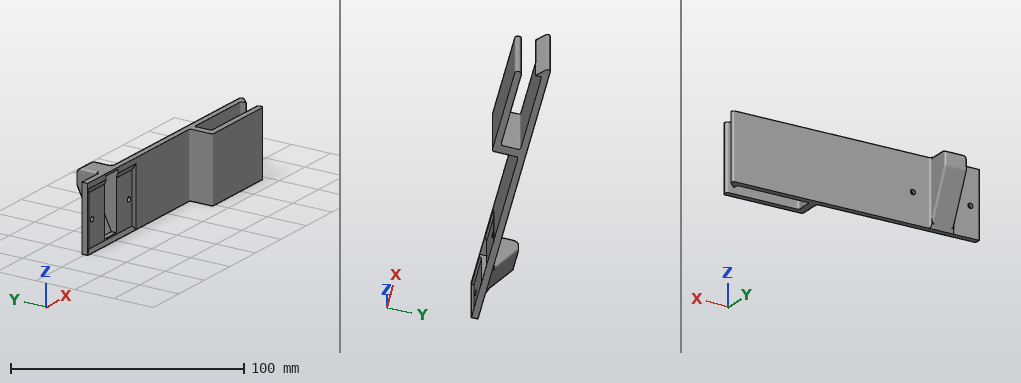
import cadquery as cq
import math

length = 124.1
height = 33.0
wall = 3.0
edge_radius = 1.0

clip_depth = 14.6
leg_left = 80.0
leg_right = 83.8
arm_end = 120.1
arm_tip_radius = 1.2
hook_depth = 5.7

recess_length = 38.0
recess_height = 30.3
recess_side_run = 2.0
recess_end_run = 2.2
recess_depth = 0.7
recess_center_x = recess_length / 2
recess_center_z = recess_height / 2

hole_diameter = 2.4
hole_spacing = 28.9

block_width = 11.0
block_depth = 11.9
block_knee_z = 25.3
block_back_radius = 3.0
shell = 1.0
cavity_bottom_z = 3.0


def round_upright_edge(solid, x, y, radius):
    edge = cq.selectors.NearestToPointSelector((x, y, height / 2))
    return solid.edges(edge).fillet(radius)


def plate_and_clip():
    """Constant section of plate, hook, leg and arm, extruded upwards."""
    arm_inner_y = wall - clip_depth
    hook_end_y = (length - arm_end) - hook_depth
    section = (
        cq.Workplane("XY")
        .moveTo(0, 0)
        .lineTo(length, 0)
        .lineTo(length, hook_end_y)
        .lineTo(arm_end, -hook_depth)
        .lineTo(arm_end, -wall)
        .lineTo(leg_right, -wall)
        .lineTo(leg_right, arm_inner_y)
        .lineTo(arm_end, arm_inner_y)
        .lineTo(arm_end, -clip_depth)
        .lineTo(leg_left, -clip_depth)
        .lineTo(leg_left, -wall)
        .lineTo(0, -wall)
        .close()
        .extrude(height)
    )
    rounded_corners = [
        (length, 0),
        (length, hook_end_y),
        (arm_end, -wall),
        (leg_right, -wall),
        (leg_right, arm_inner_y),
        (leg_left, -clip_depth),
        (leg_left, -wall),
    ]
    for x, y in rounded_corners:
        section = round_upright_edge(section, x, y, edge_radius)
    for y in (arm_inner_y, -clip_depth):
        section = round_upright_edge(section, arm_end, y, arm_tip_radius)
    return section


def centred_on_block(profile, width):
    """Extrude a YZ profile symmetrically about the middle of the block."""
    return profile.extrude(width / 2, both=True).translate((recess_center_x, 0, 0))


def block_body(width):
    """Sharp-sided block: flat top, rounded back and an underside sloping to the plate."""
    profile = (
        cq.Workplane("YZ")
        .moveTo(0, 0)
        .lineTo(block_depth, block_knee_z)
        .lineTo(block_depth, height)
        .lineTo(0, height)
        .close()
    )
    return centred_on_block(profile, width).edges("|X and (not <Y)").fillet(block_back_radius)


def block():
    solid = block_body(block_width)
    return solid.faces("<X or >X").edges("not <Y").fillet(edge_radius)


def block_roots():
    """Concave fillets where the sides of the block meet the plate."""
    half_width = block_width / 2
    foot = half_width + edge_radius
    section = (
        cq.Workplane("XY", origin=(recess_center_x, 0, 0))
        .moveTo(-foot, 0)
        .radiusArc((-half_width, edge_radius), -edge_radius)
        .lineTo(half_width, edge_radius)
        .radiusArc((foot, 0), -edge_radius)
        .close()
        .extrude(height)
    )
    return section.intersect(block_body(2 * foot))


def cavity():
    """Room inside the block, one shell thickness from its outside, open through the plate."""
    slope = block_knee_z / block_depth
    slope_lift = shell * math.hypot(1, slope)
    floor_end_y = (cavity_bottom_z - slope_lift) / slope
    back_y = block_depth - shell
    knee_z = slope * back_y + slope_lift
    top_z = height - shell
    back_radius = block_back_radius - shell
    profile = (
        cq.Workplane("YZ")
        .moveTo(-wall, cavity_bottom_z)
        .lineTo(floor_end_y, cavity_bottom_z)
        .lineTo(back_y, knee_z)
        .lineTo(back_y, top_z)
        .lineTo(-wall, top_z)
        .close()
    )
    room = centred_on_block(profile, block_width - 2 * shell)
    for z in (knee_z, top_z):
        corner = cq.selectors.NearestToPointSelector((recess_center_x, back_y, z))
        room = room.edges(corner).fillet(back_radius)
    return room


def recess():
    return (
        cq.Workplane("XZ", origin=(recess_center_x, -wall, recess_center_z))
        .rect(recess_length, recess_height)
        .workplane(offset=-recess_depth)
        .rect(recess_length - 2 * recess_side_run, recess_height - 2 * recess_end_run)
        .loft(ruled=True)
    )


def screw_holes():
    return (
        cq.Workplane("XZ", origin=(recess_center_x, 0, recess_center_z))
        .pushPoints([(-hole_spacing / 2, 0), (hole_spacing / 2, 0)])
        .circle(hole_diameter / 2)
        .extrude(wall)
    )


body = plate_and_clip().union(block()).union(block_roots())
result = body.cut(recess()).cut(cavity()).cut(screw_holes())